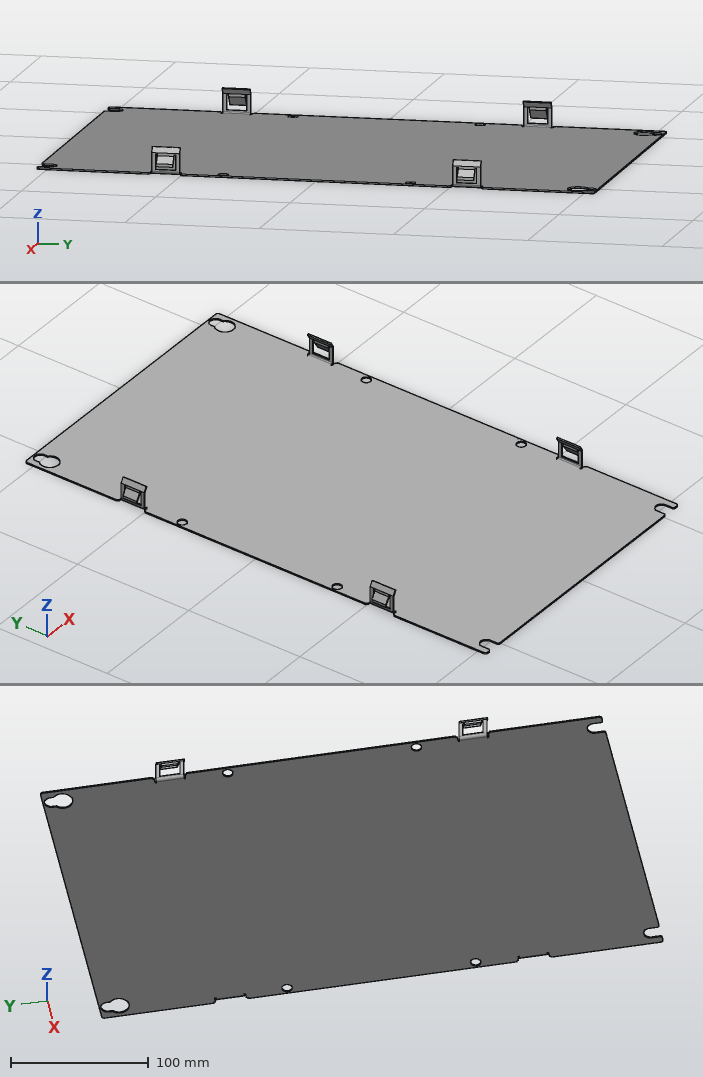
import cadquery as cq
import math

plate_length = 415.0
plate_width = 236.0
sheet = 1.2
corner_radius = 2.0

hanger_x = 107.5
keyhole_diameter = 15.0
keyhole_neck_diameter = 10.0
keyhole_inset = 14.5
keyhole_neck_inset = 6.2

slot_width = keyhole_neck_diameter
slot_depth = 12.5
slot_mouth_radius = 1.5

side_hole_x = 113.0
side_hole_y = 69.7
side_hole_diameter = 7.5

clip_y = 112.0
clip_width = 20.8
clip_height = 20.0
wall_setback = 2.0
wall_height = 15.8
lip_lean = math.radians(30)
notch_width = 23.0
notch_inner_x = 113.0
notch_corner_radius = 1.2
bend_radius = 2.0

window_width = 15.0
window_bottom = 3.5
window_top = 14.5
tongue_width = 12.5
tongue_lean = math.radians(35)
tongue_bottom = 6.2
overall_width = 239.5

half_length = plate_length / 2
half_width = plate_width / 2
tongue_outer_x = overall_width / 2
wall_outer_x = half_width - wall_setback
wall_inner_x = wall_outer_x - sheet


def make_plate():
    plate = cq.Workplane("XY").box(plate_width, plate_length, sheet, centered=(True, True, False))
    return plate.edges("|Z").fillet(corner_radius)


def make_keyhole(x):
    hole_y = half_length - keyhole_inset
    neck_y = half_length - keyhole_neck_inset
    hole = cq.Workplane("XY").center(x, hole_y).circle(keyhole_diameter / 2).extrude(sheet)
    neck_end = cq.Workplane("XY").center(x, neck_y).circle(keyhole_neck_diameter / 2).extrude(sheet)
    neck = (
        cq.Workplane("XY")
        .center(x, (hole_y + neck_y) / 2)
        .rect(keyhole_neck_diameter, neck_y - hole_y)
        .extrude(sheet)
    )
    return hole.union(neck).union(neck_end)


def make_slot(x):
    """Round-ended slot whose mouth flares out tangent to the -Y edge."""
    r = slot_width / 2
    m = slot_mouth_radius
    edge_y = -half_length
    end_y = edge_y + slot_depth
    return (
        cq.Workplane("XY")
        .moveTo(x - r - m, edge_y)
        .radiusArc((x - r, edge_y + m), -m)
        .lineTo(x - r, end_y - r)
        .threePointArc((x, end_y), (x + r, end_y - r))
        .lineTo(x + r, edge_y + m)
        .radiusArc((x + r + m, edge_y), -m)
        .close()
        .extrude(sheet)
    )


def make_notch():
    """Relief in the +X edge for a clip, with rounded inner corners and a mouth flared by rounding."""
    h = notch_width / 2
    r = notch_corner_radius
    return (
        cq.Workplane("XY")
        .moveTo(half_width, -h - r)
        .radiusArc((half_width - r, -h), r)
        .lineTo(notch_inner_x + r, -h)
        .radiusArc((notch_inner_x, -h + r), r)
        .lineTo(notch_inner_x, h - r)
        .radiusArc((notch_inner_x + r, h), r)
        .lineTo(half_width - r, h)
        .radiusArc((half_width, h + r), r)
        .close()
        .extrude(sheet)
    )


def extrude_along_y(profile, width):
    return profile.extrude(width / 2, both=True)


def make_clip():
    """Clip on the +X edge, centred on Y = 0."""
    tip_x = wall_outer_x - (clip_height - wall_height) * math.tan(lip_lean)
    tip_inner_x = tip_x - sheet * math.cos(lip_lean)
    tip_inner_z = clip_height - sheet * math.sin(lip_lean)
    wall_inner_height = wall_height - sheet * math.tan(lip_lean / 2)
    bend_start_x = wall_outer_x - bend_radius
    foot_inner_x = notch_inner_x - sheet
    wall = extrude_along_y(
        cq.Workplane("XZ")
        .moveTo(foot_inner_x, 0)
        .lineTo(bend_start_x, 0)
        .tangentArcPoint((wall_outer_x, bend_radius), relative=False)
        .lineTo(wall_outer_x, wall_height)
        .lineTo(tip_x, clip_height)
        .lineTo(tip_inner_x, tip_inner_z)
        .lineTo(wall_inner_x, wall_inner_height)
        .lineTo(wall_inner_x, bend_radius)
        .radiusArc((bend_start_x, sheet), bend_radius - sheet)
        .lineTo(foot_inner_x, sheet)
        .close(),
        clip_width,
    )
    window_depth = 4 * sheet
    window = (
        cq.Workplane("XY")
        .box(window_depth, window_width, window_top - window_bottom, centered=(True, True, False))
        .translate((wall_outer_x, 0, window_bottom))
    )
    tongue_slope = 1 / math.tan(tongue_lean)
    end_face_top = tongue_bottom + sheet / math.sin(tongue_lean)
    outer_bend_z = end_face_top + (tongue_outer_x - wall_outer_x) * tongue_slope
    inner_bend_z = tongue_bottom + (tongue_outer_x - wall_inner_x) * tongue_slope
    tongue = extrude_along_y(
        cq.Workplane("XZ")
        .moveTo(wall_inner_x, window_top)
        .lineTo(wall_outer_x, window_top)
        .lineTo(wall_outer_x, outer_bend_z)
        .lineTo(tongue_outer_x, end_face_top)
        .lineTo(tongue_outer_x, tongue_bottom)
        .lineTo(wall_inner_x, inner_bend_z)
        .close(),
        tongue_width,
    )
    return wall.cut(window).union(tongue)


result = make_plate()
for x in (-hanger_x, hanger_x):
    result = result.cut(make_keyhole(x)).cut(make_slot(x))

side_holes = (
    cq.Workplane("XY")
    .rect(2 * side_hole_x, 2 * side_hole_y, forConstruction=True)
    .vertices()
    .circle(side_hole_diameter / 2)
    .extrude(sheet)
)
result = result.cut(side_holes)

notch = make_notch()
clip = make_clip()
for turn in (0, 180):
    for y in (-clip_y, clip_y):
        clip_notch = notch.translate((0, y, 0)).rotate((0, 0, 0), (0, 0, 1), turn)
        placed_clip = clip.translate((0, y, 0)).rotate((0, 0, 0), (0, 0, 1), turn)
        result = result.cut(clip_notch).union(placed_clip)